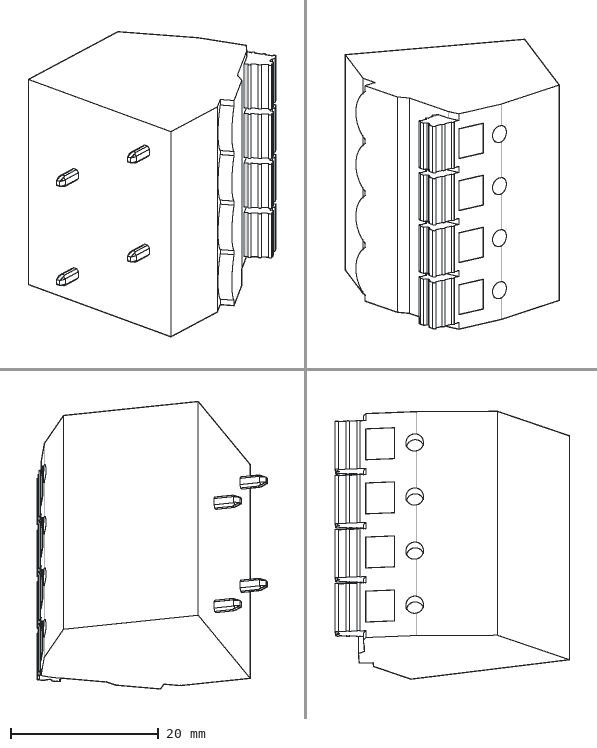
import cadquery as cq
import math


pole_count = 4
pole_pitch = 7.5
housing_height = 31.0
first_pole_z = (housing_height - (pole_count - 1) * pole_pitch) / 2
pole_heights = [first_pole_z + i * pole_pitch for i in range(pole_count)]

housing_depth = 25.1
back_wall_y = 19.02
back_slope_angle = 30
back_slope_length = 11.0
crown_slope_angle = 20
crown_slope_length = 6.97
crown_chamfer_x = 1.12
crown_chamfer_y = 1.25
face_angle = -60
upper_face_length = 7.58
step_angle = -30
step_length = 1.7
lower_face_length = 6.25

lug_depth = 1.9
lug_width = 6.88
lug_drop = 1.77

test_hole_diameter = 2.38
test_hole_shift = 0.22
test_hole_depth = 3.85

pad_length = 3.95
pad_width = 4.27
pad_height = 0.1

lever_width = 6.65
lever_root_depth = 3.85
lever_heel = (1.22, -3.6)
nose_points = [
    (4.25, 0), (4.37, -0.7), (4.1, -0.93), (3.92, -1.48), (4.08, -1.65), (4.53, -1.8), (4.65, -2.3),
]
ridge_radius = 0.22
nose_ridge_radius = 0.25
nose_ridge_start = 4.02
upper_ridge_start = 1.0
upper_ridge_pitch = 1.5
upper_ridge_count = 2
lower_ridge_start = (1.7, -3.5)
lower_ridge_end = (4.4, -2.7)
lower_ridge_count = 3

pin_length = 3.6
pin_width_x = 1.22
pin_width_z = 1.6
pin_chamfer = 0.35
pin_tip_x = 0.55
pin_tip_z = 0.75
pin_taper = 22
pin_embed = 0.95
pin_rows_x = (20.72, 8.23)


def step_from(start, angle, length):
    """Point reached from start after a given length at an angle in degrees."""
    turn = math.radians(angle)
    return (start[0] + length * math.cos(turn), start[1] + length * math.sin(turn))


back_top = (0, back_wall_y)
slope_break = step_from(back_top, back_slope_angle, back_slope_length)
crown = step_from(slope_break, crown_slope_angle, crown_slope_length)
face_top = (crown[0] + crown_chamfer_x, crown[1] - crown_chamfer_y)
step_inner = step_from(face_top, face_angle, upper_face_length)
step_outer = step_from(step_inner, step_angle, step_length)
shelf_outer = step_from(step_outer, face_angle, lower_face_length)
shelf_inner = step_from(shelf_outer, face_angle - 90, lug_depth)
undercut_length = (housing_depth - shelf_inner[0]) / math.cos(math.radians(face_angle))
undercut_end = step_from(shelf_inner, face_angle, undercut_length)


def slope_plane(origin, z, angle):
    """Plane parallel to XY whose local X runs along a slope."""
    turn = math.radians(angle)
    return cq.Plane(
        origin=(origin[0], origin[1], z),
        xDir=(math.cos(turn), math.sin(turn), 0),
        normal=(0, 0, 1),
    )


def make_housing():
    outline = [
        (0, 0), back_top, slope_break, crown, face_top, step_inner, step_outer,
        shelf_outer, shelf_inner, undercut_end, (housing_depth, 0),
    ]
    return cq.Workplane("XY").polyline(outline).close().extrude(housing_height)


def make_lug(z):
    """Circular segment hanging below the shelf, flush with the wire entry face."""
    inward = math.radians(face_angle - 90)
    plane = cq.Plane(
        origin=(shelf_outer[0], shelf_outer[1], z),
        xDir=(0, 0, 1),
        normal=(math.cos(inward), math.sin(inward), 0),
    )
    return (
        cq.Workplane(plane)
        .moveTo(-lug_width / 2, 0)
        .threePointArc((0, -lug_drop), (lug_width / 2, 0))
        .close()
        .extrude(lug_depth)
    )


def make_test_hole(z):
    """Round cutter square to the back slope, starting one diameter outside the housing."""
    center = step_from(slope_break, crown_slope_angle, test_hole_shift)
    outside = step_from(center, back_slope_angle + 90, test_hole_diameter)
    inward = math.radians(back_slope_angle - 90)
    along_slope = math.radians(back_slope_angle)
    plane = cq.Plane(
        origin=(outside[0], outside[1], z),
        xDir=(math.cos(along_slope), math.sin(along_slope), 0),
        normal=(math.cos(inward), math.sin(inward), 0),
    )
    return (
        cq.Workplane(plane)
        .circle(test_hole_diameter / 2)
        .extrude(test_hole_diameter + test_hole_depth)
    )


def make_pad(z):
    plane = slope_plane(crown, z - pad_width / 2, crown_slope_angle)
    return (
        cq.Workplane(plane)
        .center(-pad_length / 2, 0)
        .rect(pad_length, 2 * pad_height)
        .extrude(pad_width)
    )


def make_lever(z):
    """Lever with grip ridges on both edges and a notched nose."""
    plane = slope_plane(crown, z - lever_width / 2, crown_slope_angle)
    outline = [(0, 0)] + nose_points + [lower_ridge_end, lever_heel, (0, -lever_root_depth)]
    lever = cq.Workplane(plane).polyline(outline).close().extrude(lever_width)

    upper_ridges = [(upper_ridge_start + i * upper_ridge_pitch, 0) for i in range(upper_ridge_count)]
    lower_ridges = []
    for i in range(lower_ridge_count):
        share = i / (lower_ridge_count - 1)
        along = lower_ridge_start[0] + share * (lower_ridge_end[0] - lower_ridge_start[0])
        across = lower_ridge_start[1] + share * (lower_ridge_end[1] - lower_ridge_start[1])
        lower_ridges.append((along, across))
    ridges = (
        cq.Workplane(plane)
        .pushPoints(upper_ridges + lower_ridges)
        .circle(ridge_radius)
        .extrude(lever_width)
    )
    nose_ridge = (
        cq.Workplane(plane)
        .center(nose_ridge_start, 0)
        .circle(nose_ridge_radius)
        .extrude(lever_width)
    )
    return lever.union(ridges).union(nose_ridge)


def make_pin(x, z):
    """Pin with chamfered long edges and a four-sided tapered tip."""
    shank = (
        cq.Workplane("XY")
        .box(pin_width_x, pin_length + pin_embed, pin_width_z, centered=(True, False, True))
        .edges("|Y")
        .chamfer(pin_chamfer)
    )
    tip = (
        cq.Workplane("XZ")
        .rect(pin_tip_x, pin_tip_z)
        .extrude(-(pin_length + pin_embed), taper=-pin_taper)
    )
    return shank.intersect(tip).translate((x, -pin_length, z))


result = make_housing()
for index, pole_z in enumerate(reversed(pole_heights)):
    result = result.union(make_lug(pole_z))
    result = result.union(make_pad(pole_z))
    result = result.union(make_lever(pole_z))
    result = result.union(make_pin(pin_rows_x[index % len(pin_rows_x)], pole_z))
    result = result.cut(make_test_hole(pole_z))